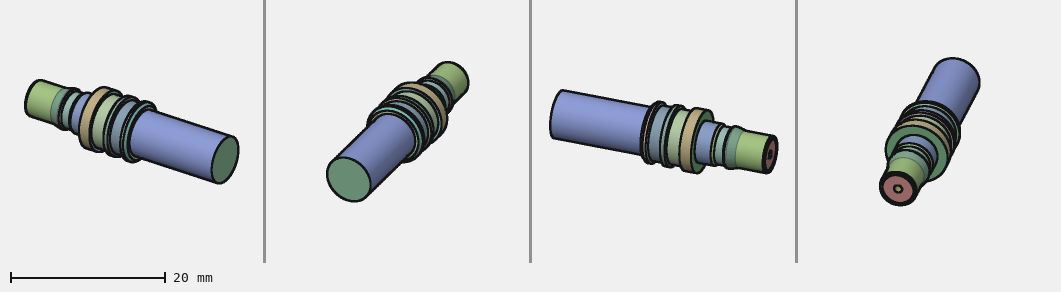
import cadquery as cq
import math

length = 29.3
nose_radius = 2.45
neck_radius = 2.52
shoulder_radius = 2.78
flange_radius = 4.145
barrel_radius = 3.65
rib_radius = 4.05
tail_radius = 3.15

nose_chamfer_length = 0.2
nose_chamfer_depth = 0.1
ring_start = 3.98
ring_crest_start = 5.2
ring_crest_end = 5.45
ring_end = 5.68
ring_bulge = 0.03

shoulder_start = 6.9
shoulder_chamfer_end = 7.27
flange_start = 9.45
flange_end = 11.08

front_rib_start = 13.0
front_rib_end = 13.95
front_rib_chamfer = 0.15
rear_rib_start = 15.55
rear_rib_crest_start = 15.75
rear_rib_crest_end = 16.2
barrel_end = 16.65
barrel_end_radius = 3.63

recess_radius = 2.08
recess_depth = 0.1
hole_radius = 0.53
hole_depth = 2.93
drill_point_angle = 118.0


def make_body():
    """Revolve the outer outline about the X axis."""
    ring_mid_x = (ring_start + ring_crest_start) / 2
    ring_mid_radius = (nose_radius + shoulder_radius) / 2 + ring_bulge
    outline = (
        cq.Workplane("XY")
        .moveTo(0, 0)
        .lineTo(0, nose_radius - nose_chamfer_depth)
        .lineTo(nose_chamfer_length, nose_radius)
        .lineTo(ring_start, nose_radius)
        .threePointArc((ring_mid_x, ring_mid_radius), (ring_crest_start, shoulder_radius))
        .lineTo(ring_crest_end, shoulder_radius)
        .lineTo(ring_end, neck_radius)
        .lineTo(shoulder_start, neck_radius)
        .lineTo(shoulder_chamfer_end, shoulder_radius)
        .lineTo(flange_start, shoulder_radius)
        .lineTo(flange_start, flange_radius)
        .lineTo(flange_end, flange_radius)
        .lineTo(flange_end, barrel_radius)
        .lineTo(front_rib_start, barrel_radius)
        .lineTo(front_rib_start + front_rib_chamfer, rib_radius)
        .lineTo(front_rib_end - front_rib_chamfer, rib_radius)
        .lineTo(front_rib_end, barrel_radius)
        .lineTo(rear_rib_start, barrel_radius)
        .lineTo(rear_rib_crest_start, rib_radius)
        .lineTo(rear_rib_crest_end, rib_radius)
        .lineTo(barrel_end, barrel_end_radius)
        .lineTo(barrel_end, tail_radius)
        .lineTo(length, tail_radius)
        .lineTo(length, 0)
        .close()
    )
    return outline.revolve(360, (0, 0, 0), (1, 0, 0))


def make_recess():
    """Shallow round recess in the nose face."""
    return cq.Workplane("YZ").circle(recess_radius).extrude(recess_depth)


def make_hole():
    """Blind hole with a conical drill point."""
    point_length = hole_radius / math.tan(math.radians(drill_point_angle / 2))
    return (
        cq.Workplane("XY")
        .moveTo(0, 0)
        .lineTo(0, hole_radius)
        .lineTo(hole_depth, hole_radius)
        .lineTo(hole_depth + point_length, 0)
        .close()
        .revolve(360, (0, 0, 0), (1, 0, 0))
    )


result = make_body().cut(make_recess()).cut(make_hole())